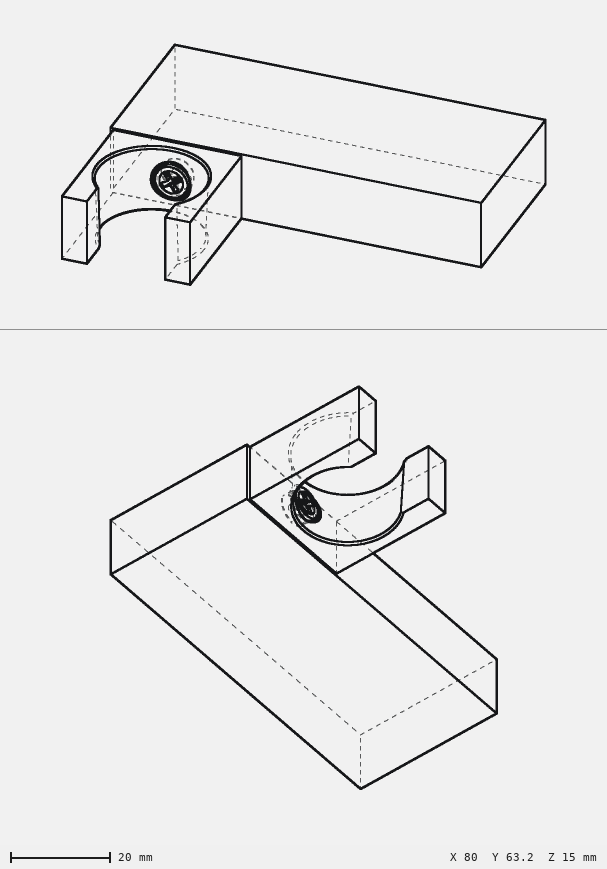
import cadquery as cq

block_length = 80.0
block_depth = 35.0
block_height = 15.0

joint_gap = 0.2
side_inset = 0.7
holder_width = 27.7
holder_depth = 28.0
holder_height = 14.6
holder_back = -joint_gap
holder_front = holder_back - holder_depth
center_x = side_inset + holder_width / 2

bore_center_y = holder_back - holder_depth / 2
bore_top_radius = 11.4
bore_bottom_radius = 10.9
rim_chamfer = 0.5
slot_width = 16.9

bush_radius = 3.5
bush_front = bore_center_y + 10.6
recess_radius = 4.1
recess_chamfer = 0.2
recess_floor_y = bush_front + 1.0
screw_head_radius = 2.6
screw_shank_radius = 1.3
cross_angle = 30.0
cross_half_length = 2.2
cross_width = 1.0
cross_depth = 2.1


def axial_cone(front_radius, back_radius, front_y, back_y):
    """Solid of revolution about the screw axis between two Y positions."""
    profile = [(0, front_y), (front_radius, front_y), (back_radius, back_y), (0, back_y)]
    return (
        cq.Workplane("XY").polyline(profile).close()
        .revolve(360, (0, 0), (0, 1))
        .translate((center_x, 0, 0))
    )


def make_block():
    return cq.Workplane("XY").box(
        block_length, block_depth, block_height, centered=(False, False, True)
    )


def make_bore_cutter():
    """Tapered bore, widened by a chamfer at both ends."""
    half_height = holder_height / 2
    profile = [
        (0, -half_height),
        (bore_bottom_radius + rim_chamfer, -half_height),
        (bore_bottom_radius, -half_height + rim_chamfer),
        (bore_top_radius, half_height - rim_chamfer),
        (bore_top_radius + rim_chamfer, half_height),
        (0, half_height),
    ]
    return (
        cq.Workplane("XZ").polyline(profile).close()
        .revolve(360, (0, 0), (0, 1))
        .translate((center_x, bore_center_y, 0))
    )


def make_holder():
    body = cq.Workplane("XY").box(holder_width, holder_depth, holder_height)
    body = body.translate((center_x, (holder_back + holder_front) / 2, 0))
    slot_length = bore_center_y - holder_front
    slot = cq.Workplane("XY").box(slot_width, slot_length, holder_height)
    slot = slot.translate((center_x, holder_front + slot_length / 2, 0))
    recess = axial_cone(recess_radius, recess_radius, bore_center_y, recess_floor_y)
    bush_hole = axial_cone(bush_radius, bush_radius, bush_front, holder_back)
    body = body.cut(make_bore_cutter()).cut(slot).cut(recess)
    recess_mouth = cq.selectors.BoxSelector(
        (center_x - recess_radius, bore_center_y, -recess_radius),
        (center_x + recess_radius, (bush_front + recess_floor_y) / 2, recess_radius),
    )
    body = body.edges(recess_mouth).chamfer(recess_chamfer)
    return body.cut(bush_hole)


def make_screw_envelope():
    """Countersunk head with a shank down to the block face."""
    head_back = bush_front + screw_head_radius - screw_shank_radius
    head = axial_cone(screw_head_radius, screw_shank_radius, bush_front, head_back)
    shank = axial_cone(screw_shank_radius, screw_shank_radius, head_back, 0)
    return head.union(shank)


def make_bush():
    return axial_cone(bush_radius, bush_radius, bush_front, 0).cut(make_screw_envelope())


def make_screw():
    """Screw with a cross recess made of two V-bottomed slots."""
    screw = make_screw_envelope()
    v_profile = [(-cross_half_length, 0), (cross_half_length, 0), (0, cross_depth)]
    for angle in (cross_angle, cross_angle + 90):
        v_slot = (
            cq.Workplane("XY").polyline(v_profile).close()
            .extrude(cross_width / 2, both=True)
            .rotate((0, 0, 0), (0, 1, 0), -angle)
            .translate((center_x, bush_front, 0))
        )
        screw = screw.cut(v_slot)
    return screw


block = make_block()
holder = make_holder()
bush = make_bush()
screw = make_screw()

result = cq.Compound.makeCompound([block.val(), holder.val(), bush.val(), screw.val()])